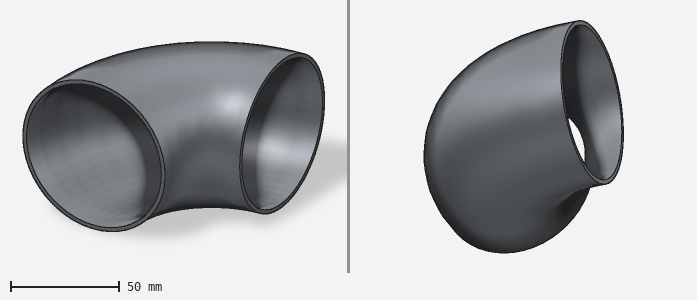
import cadquery as cq

outer_diameter = 76.1
wall_thickness = 2.0
bend_radius = 63.0
bend_angle = 90.0

outer_radius = outer_diameter / 2
inner_radius = outer_radius - wall_thickness


def make_elbow():
    """Sweep the pipe ring about the Z axis, from the -X side round to the +Y side."""
    pipe_ring = (
        cq.Workplane("XZ")
        .center(-bend_radius, 0)
        .circle(outer_radius)
        .circle(inner_radius)
    )
    bend_axis_start = (bend_radius, 0)
    bend_axis_end = (bend_radius, -1)
    return pipe_ring.revolve(bend_angle, bend_axis_start, bend_axis_end)


result = make_elbow()